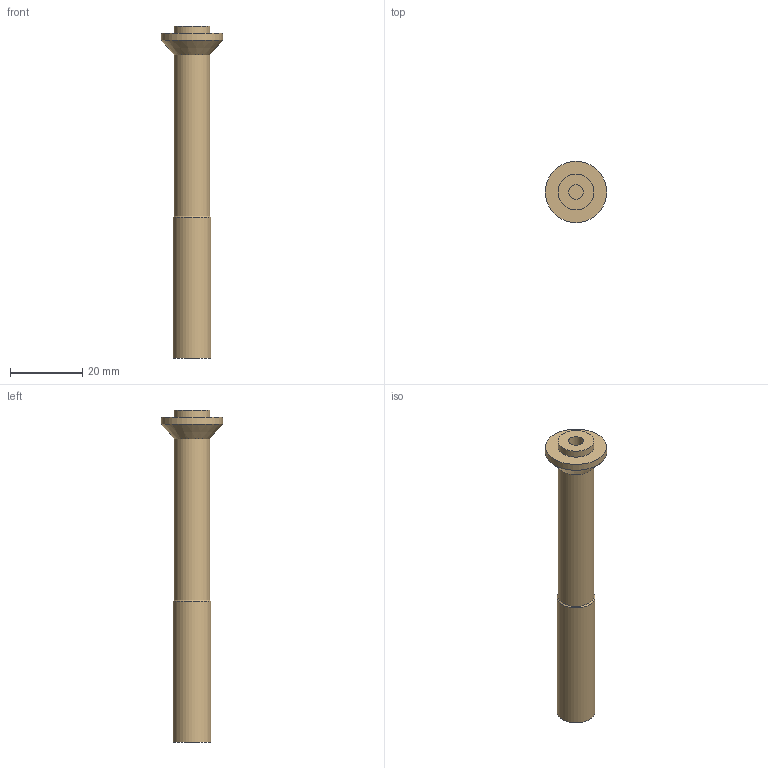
import cadquery as cq

total_length = 92.0
sleeve_length = 39.0
boss_height = 2.0
rim_height = 2.0
cone_height = 4.0

sleeve_diameter = 10.5
shank_diameter = 9.85
boss_diameter = 9.9
rim_diameter = 17.0
bore_diameter = 4.1

bore_depth = 10.0

sleeve_chamfer = (sleeve_diameter - shank_diameter) / 2

rim_top = total_length - boss_height
rim_bottom = rim_top - rim_height
cone_bottom = rim_bottom - cone_height


def make_body():
    """Revolve the half profile of the stepped pin about the Z axis."""
    return (
        cq.Workplane("XZ")
        .moveTo(0, 0)
        .lineTo(sleeve_diameter / 2, 0)
        .lineTo(sleeve_diameter / 2, sleeve_length)
        .lineTo(shank_diameter / 2, sleeve_length + sleeve_chamfer)
        .lineTo(shank_diameter / 2, cone_bottom)
        .lineTo(rim_diameter / 2, rim_bottom)
        .lineTo(rim_diameter / 2, rim_top)
        .lineTo(boss_diameter / 2, rim_top)
        .lineTo(boss_diameter / 2, total_length)
        .lineTo(0, total_length)
        .close()
        .revolve(360, (0, 0), (0, 1))
    )


def make_bore():
    """Blind hole running down from the top face."""
    return (
        cq.Workplane("XY")
        .workplane(offset=total_length - bore_depth)
        .circle(bore_diameter / 2)
        .extrude(bore_depth)
    )


result = make_body().cut(make_bore())